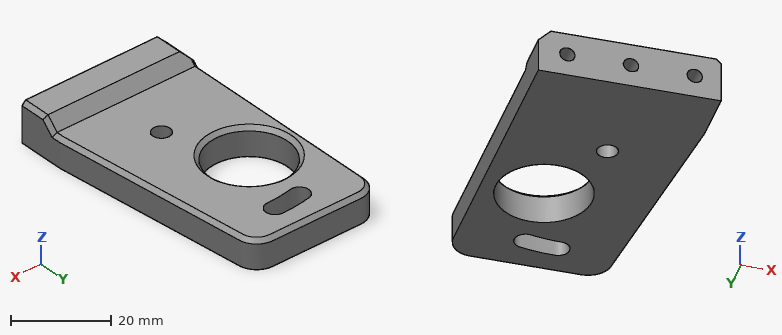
import cadquery as cq
import math

width = 37.9
length = 65.4
height = 10.0

plate_thickness = 7.2
pad_length = 6.85
ramp_run = height - plate_thickness
back_width = 32.4
taper_start = 11.75
corner_radius = 5.0
edge_chamfer = 1.0
pad_side_chamfer = 2.6

bore_x = 13.0
bore_y = 40.5
bore_diameter = 20.0
bore_chamfer = 1.0

pivot_x = 21.05
pivot_y = 23.0
pivot_diameter = 4.4
slot_path_radius = 35.0
slot_width = 4.7
slot_sweep = 11.5

front_hole_diameter = 3.15
front_hole_pitch = 13.2
front_hole_depth = 9.8
front_hole_first_x = 6.0
front_hole_count = 3


def make_outline_block():
    """Tapered outline with rounded back corners, at full height."""
    return (
        cq.Workplane("XY")
        .polyline([(0, 0), (width, 0), (width, taper_start), (back_width, length), (0, length)])
        .close()
        .extrude(height)
        .edges("|Z and >Y")
        .fillet(corner_radius)
    )


def make_side_profile():
    """Stepped side profile, extruded across the width."""
    return (
        cq.Workplane("YZ")
        .polyline([
            (0, 0),
            (length, 0),
            (length, plate_thickness),
            (pad_length + ramp_run, plate_thickness),
            (pad_length, height),
            (0, height),
        ])
        .close()
        .extrude(width)
    )


def chamfer_top_rim(body):
    """Chamfer the upper rim along the left, back and right sides."""
    flat_limit = 0.01
    upward_edges = []
    wall_edges = []
    for face in body.faces("not(<Y)").vals():
        normal_z = face.normalAt().z
        if normal_z > flat_limit:
            upward_edges.extend(face.Edges())
        elif abs(normal_z) < flat_limit:
            wall_edges.extend(face.Edges())
    rim = [edge for edge in upward_edges if any(edge.isSame(wall) for wall in wall_edges)]
    return body.newObject(rim).chamfer(edge_chamfer)


def make_pad_side_cut():
    """Wedge that widens the chamfer on the left edge of the pad."""
    return (
        cq.Workplane("XZ")
        .polyline([(0, height - pad_side_chamfer), (pad_side_chamfer, height), (0, height)])
        .close()
        .extrude(-length)
    )


def make_bore():
    """Through bore with a chamfered upper rim."""
    radius = bore_diameter / 2
    return (
        cq.Workplane("XZ")
        .polyline([
            (0, 0),
            (radius, 0),
            (radius, plate_thickness - bore_chamfer),
            (radius + bore_chamfer, plate_thickness),
            (0, plate_thickness),
        ])
        .close()
        .revolve(360, (0, 0), (0, 1))
        .translate((bore_x, bore_y, 0))
    )


def slot_point(radius, degrees):
    """Point at a given radius from the pivot, at an angle counterclockwise from +Y."""
    angle = math.radians(degrees)
    return (pivot_x - radius * math.sin(angle), pivot_y + radius * math.cos(angle))


def make_slot():
    """Arc-shaped through slot with round ends."""
    inner = slot_path_radius - slot_width / 2
    outer = slot_path_radius + slot_width / 2
    band = (
        cq.Workplane("XY")
        .moveTo(*slot_point(inner, 0))
        .threePointArc(slot_point(inner, slot_sweep / 2), slot_point(inner, slot_sweep))
        .lineTo(*slot_point(outer, slot_sweep))
        .threePointArc(slot_point(outer, slot_sweep / 2), slot_point(outer, 0))
        .close()
        .extrude(height)
    )
    end_centres = [slot_point(slot_path_radius, angle) for angle in (0, slot_sweep)]
    ends = cq.Workplane("XY").pushPoints(end_centres).circle(slot_width / 2).extrude(height)
    return band.union(ends)


def make_pivot_hole():
    return cq.Workplane("XY").center(pivot_x, pivot_y).circle(pivot_diameter / 2).extrude(height)


def make_front_holes():
    """Row of blind holes at mid height, entering from the front face."""
    centres = [
        (front_hole_first_x + index * front_hole_pitch, height / 2)
        for index in range(front_hole_count)
    ]
    return (
        cq.Workplane("XZ")
        .pushPoints(centres)
        .circle(front_hole_diameter / 2)
        .extrude(-front_hole_depth)
    )


body = make_outline_block().intersect(make_side_profile())
body = chamfer_top_rim(body)
for cutter in (make_pad_side_cut(), make_bore(), make_slot(), make_pivot_hole(), make_front_holes()):
    body = body.cut(cutter)

result = body